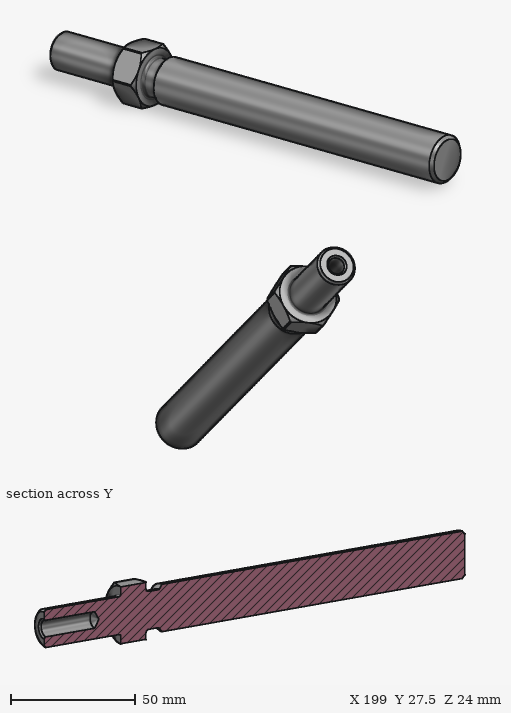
import cadquery as cq
import math

total_length = 199.0
stem_length = 36.2
stem_diameter = 16.1
stem_chamfer = 1.0
stem_root_fillet = 0.5

hex_length = 12.1
hex_across_flats = 24.0
hex_corner_diameter = 27.5
hex_face_diameter = hex_across_flats
hex_chamfer_angle = 40.0

neck_length = 7.4
neck_diameter = 16.1
neck_fillet = 1.2

body_diameter = 20.0
body_front_cone_length = 1.4
body_end_chamfer = 1.4

hole_diameter = 6.8
hole_mouth_diameter = 8.4
hole_depth = 23.9
drill_point_angle = 118.0

hex_start = stem_length
hex_end = hex_start + hex_length
body_start = hex_end + neck_length
body_length = total_length - body_start


def rod(start, length, diameter):
    """Solid cylinder along X."""
    return cq.Workplane("YZ", origin=(start, 0, 0)).circle(diameter / 2).extrude(length)


def revolve_about_x(points):
    """Revolve an (x, radius) outline about the X axis."""
    return cq.Workplane("XY").polyline(points).close().revolve(360, (0, 0, 0), (1, 0, 0))


def root_fillet(face_x, direction, radius, fillet):
    """Ring with a concave round between a rod and a flat face of the hexagon."""
    outer = radius + fillet
    away = face_x + direction * fillet
    arc_reach = fillet * (1 - math.sqrt(0.5))
    return (
        cq.Workplane("XY")
        .moveTo(face_x, 0)
        .lineTo(face_x, outer)
        .threePointArc((face_x + direction * arc_reach, radius + arc_reach), (away, radius))
        .lineTo(away, 0)
        .close()
        .revolve(360, (0, 0, 0), (1, 0, 0))
    )


def hexagon():
    """Hexagon with flats facing +Z and -Z and conically turned corners."""
    prism = (
        cq.Workplane("YZ", origin=(hex_start, 0, 0))
        .polygon(6, hex_across_flats / math.cos(math.pi / 6))
        .extrude(hex_length)
    )
    face_radius = hex_face_diameter / 2
    corner_radius = hex_corner_diameter / 2
    chamfer = (corner_radius - face_radius) * math.tan(math.radians(hex_chamfer_angle))
    envelope = revolve_about_x([
        (hex_start, 0),
        (hex_start, face_radius),
        (hex_start + chamfer, corner_radius),
        (hex_end - chamfer, corner_radius),
        (hex_end, face_radius),
        (hex_end, 0),
    ])
    return prism.intersect(envelope)


def countersunk_hole():
    """Blind drilled hole in the stem end with a 45 degree countersink and a conical bottom."""
    radius = hole_diameter / 2
    mouth_radius = hole_mouth_diameter / 2
    point_length = radius / math.tan(math.radians(drill_point_angle / 2))
    return revolve_about_x([
        (0, 0),
        (0, mouth_radius),
        (mouth_radius - radius, radius),
        (hole_depth, radius),
        (hole_depth + point_length, 0),
    ])


stem = rod(0, stem_length, stem_diameter).faces("<X").chamfer(stem_chamfer)
neck = rod(hex_end, neck_length, neck_diameter)
body = rod(body_start, body_length, body_diameter).faces(">X").chamfer(body_end_chamfer)
front_cone = revolve_about_x([
    (body_start - body_front_cone_length, 0),
    (body_start - body_front_cone_length, neck_diameter / 2),
    (body_start, body_diameter / 2),
    (body_start, 0),
])

result = (
    hexagon()
    .union(stem)
    .union(neck)
    .union(front_cone)
    .union(body)
    .union(root_fillet(hex_start, -1, stem_diameter / 2, stem_root_fillet))
    .union(root_fillet(hex_end, 1, neck_diameter / 2, neck_fillet))
    .cut(countersunk_hole())
)